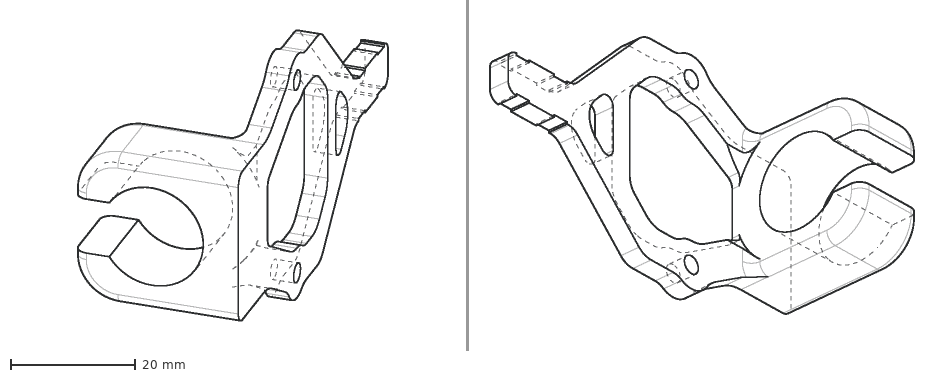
import cadquery as cq
import math


BORE_RADIUS = 8.75
BACK_WALL = 6.0
BACK_X = BORE_RADIUS + BACK_WALL
CLIP_DEPTH = 28.0
CLIP_LENGTH = 14.0
CLIP_HALF_HEIGHT = 13.38
CLIP_CORNER_RADIUS = 7.4
CLIP_EDGE_RADIUS = 2.0
SLOT_WIDTH = 9.7

PLATE_THICKNESS = 4.0
PLATE_FRONT_X = BACK_X - PLATE_THICKNESS
PLATE_ROOT_Y = CLIP_LENGTH / 2
PLATE_TOP_Z = 20.65
ROOT_BLEND_RADIUS = 8.0
ROOT_FILLET = 2.0
BLANK_THICKNESS = PLATE_THICKNESS + ROOT_FILLET
CLEARANCE_RADIUS = 14.0

TAB_END_Y = 71.61
TAB_HALF_HEIGHT = 4.0
TAB_CORNER_RADIUS = 2.0
TAB_BLEND_RADIUS = 3.0
NOTCH_DEPTH = 0.4
NOTCH_LENGTH = 3.0
NOTCH_STARTS_Y = (57.6, 66.6)

FAR_APEX_Y = 60.0
FAR_ARM_WIDTH = 6.0
NEAR_SLOPE = math.tan(math.radians(30))
NEAR_OUTER_Y = 14.2
NEAR_ARM_WIDTH = 6.5
SHOULDER_RADIUS = 4.0
WINDOW_SHOULDER_RADIUS = 5.0

WINDOW_FAR_Y = 42.65
WINDOW_HALF_HEIGHT = 14.2
WINDOW_ROOT_RADIUS = 2.0

CROSSBAR_WIDTH = 4.0
TRIANGLE_ARM_WIDTH = 4.0
TRIANGLE_APEX_RADIUS = 5.0
TRIANGLE_CORNER_RADIUS = 1.5

SCREW_Y = 28.05
SCREW_Z = 17.35
SCREW_DIAMETER = 3.3
BOSS_RADIUS = 4.5
BOSS_FAR_BLEND_RADIUS = 4.0
BOSS_NEAR_BLEND_RADIUS = 6.0


def slab(points):
    """Extrude a (Y, Z) outline forward from the back face through the blank thickness."""
    return cq.Workplane("YZ", origin=(BACK_X, 0, 0)).polyline(points).close().extrude(-BLANK_THICKNESS)


def disc(y, z, radius):
    """Cylinder along X through the blank thickness."""
    return cq.Workplane("YZ", origin=(BACK_X, y, z)).circle(radius).extrude(-BLANK_THICKNESS)


def round_corner(body, point, radius):
    """Round the through-thickness edge nearest to a (Y, Z) point."""
    y, z = point
    nearest = cq.selectors.NearestToPointSelector((BACK_X - BLANK_THICKNESS / 2, y, z))
    return body.edges("|X").edges(nearest).fillet(radius)


def boss_meets_level(level, side):
    """Point where the boss circle crosses a horizontal line, on the +Y or -Y side."""
    return (SCREW_Y + side * math.sqrt(BOSS_RADIUS**2 - (level - SCREW_Z) ** 2), level)


def boss_meets_slope(start_y, start_z, side):
    """Point where the boss circle crosses a near-arm line through a start point."""
    angle = math.atan(NEAR_SLOPE)
    dy = SCREW_Y - start_y
    dz = SCREW_Z - start_z
    along = dy * math.cos(angle) + dz * math.sin(angle)
    across = dz * math.cos(angle) - dy * math.sin(angle)
    along += side * math.sqrt(BOSS_RADIUS**2 - across**2)
    return (start_y + along * math.cos(angle), start_z + along * math.sin(angle))


def make_half_plate():
    """Upper half of the plate blank, with its boss, notches and half of the main window."""
    tab_corner = (TAB_END_Y, TAB_HALF_HEIGHT)
    tab_neck = (FAR_APEX_Y - TAB_HALF_HEIGHT, TAB_HALF_HEIGHT)
    shoulder = (FAR_APEX_Y - PLATE_TOP_Z, PLATE_TOP_Z)
    near_top = (NEAR_OUTER_Y + (PLATE_TOP_Z - CLIP_HALF_HEIGHT) / NEAR_SLOPE, PLATE_TOP_Z)
    root = (NEAR_OUTER_Y, CLIP_HALF_HEIGHT)
    outline = [(TAB_END_Y, 0), tab_corner, tab_neck, shoulder, near_top, root,
               (PLATE_ROOT_Y, CLIP_HALF_HEIGHT), (PLATE_ROOT_Y, 0)]

    window_apex_y = FAR_APEX_Y - FAR_ARM_WIDTH * math.sqrt(2)
    window_far = (WINDOW_FAR_Y, window_apex_y - WINDOW_FAR_Y)
    window_shoulder = (window_apex_y - WINDOW_HALF_HEIGHT, WINDOW_HALF_HEIGHT)
    arm_height = NEAR_ARM_WIDTH / math.cos(math.atan(NEAR_SLOPE))
    root_z = CLIP_HALF_HEIGHT - arm_height + NEAR_SLOPE * (CLIP_LENGTH - NEAR_OUTER_Y)
    window_root = (CLIP_LENGTH, root_z)
    window_top = (CLIP_LENGTH + (WINDOW_HALF_HEIGHT - root_z) / NEAR_SLOPE, WINDOW_HALF_HEIGHT)
    window = [(WINDOW_FAR_Y, 0), window_far, window_shoulder, window_top, window_root, (CLIP_LENGTH, 0)]

    half = slab(outline).cut(slab(window)).union(disc(SCREW_Y, SCREW_Z, BOSS_RADIUS))
    half = half.cut(disc(SCREW_Y, SCREW_Z, SCREW_DIAMETER / 2))

    half = round_corner(half, tab_corner, TAB_CORNER_RADIUS)
    half = round_corner(half, tab_neck, TAB_BLEND_RADIUS)
    half = round_corner(half, root, ROOT_BLEND_RADIUS)
    half = round_corner(half, window_root, WINDOW_ROOT_RADIUS)
    half = round_corner(half, window_shoulder, WINDOW_SHOULDER_RADIUS)
    for corner in (shoulder, window_far):
        half = round_corner(half, corner, SHOULDER_RADIUS)

    for corner in (boss_meets_level(PLATE_TOP_Z, 1), boss_meets_level(WINDOW_HALF_HEIGHT, 1)):
        half = round_corner(half, corner, BOSS_FAR_BLEND_RADIUS)
    for corner in (boss_meets_slope(*root, -1), boss_meets_slope(*window_root, -1)):
        half = round_corner(half, corner, BOSS_NEAR_BLEND_RADIUS)

    notch_z = TAB_HALF_HEIGHT - NOTCH_DEPTH
    for start in NOTCH_STARTS_Y:
        end = start + NOTCH_LENGTH
        half = half.cut(slab([(start, notch_z), (end, notch_z), (end, PLATE_TOP_Z), (start, PLATE_TOP_Z)]))
    return half


def make_triangle_window():
    """Rounded triangular opening between the far arms and the crossbar."""
    base_y = WINDOW_FAR_Y + CROSSBAR_WIDTH
    apex_y = FAR_APEX_Y - TRIANGLE_ARM_WIDTH * math.sqrt(2)
    half_base = apex_y - base_y
    apex = (apex_y, 0)
    corners = ((base_y, half_base), (base_y, -half_base))
    opening = round_corner(slab([apex, *corners]), apex, TRIANGLE_APEX_RADIUS)
    for corner in corners:
        opening = round_corner(opening, corner, TRIANGLE_CORNER_RADIUS)
    return opening


def make_root_fillet():
    """Concave fillet that follows the clip's rounded end edge in front of the plate."""
    axis_y = CLIP_LENGTH - CLIP_EDGE_RADIUS
    axis_z = CLIP_HALF_HEIGHT - CLIP_EDGE_RADIUS
    tangent_x = PLATE_FRONT_X - ROOT_FILLET
    tangent_y = CLIP_LENGTH + ROOT_FILLET
    arc_reach = ROOT_FILLET * (1 - math.sqrt(0.5))
    arc_middle = (PLATE_FRONT_X - arc_reach, CLIP_LENGTH + arc_reach)

    def profile(z):
        start = cq.Workplane("XY", origin=(0, 0, z)).moveTo(tangent_x, axis_y).lineTo(PLATE_FRONT_X, axis_y)
        side = start.lineTo(PLATE_FRONT_X, tangent_y)
        return side.threePointArc(arc_middle, (tangent_x, CLIP_LENGTH)).close()

    fillet = profile(-axis_z).extrude(2 * axis_z)
    turn = profile(axis_z).revolve(90, (tangent_x, axis_y), (PLATE_FRONT_X, axis_y))
    return fillet.union(turn).union(turn.mirror("XY"))


def make_plate():
    """Blank trimmed to the plate thickness, except for the fillet against the clip."""
    half = make_half_plate()
    blank = half.union(half.mirror("XY")).cut(make_triangle_window())
    sheet = cq.Workplane("XY").box(PLATE_THICKNESS, 2 * TAB_END_Y, 4 * PLATE_TOP_Z)
    sheet = sheet.translate((BACK_X - PLATE_THICKNESS / 2, 0, 0))
    return blank.intersect(sheet).union(blank.intersect(make_root_fillet()))


def make_clip_block():
    """Solid clip body with rounded mouth corners and rounded end edges."""
    block = cq.Workplane("XY").box(CLIP_DEPTH, CLIP_LENGTH, 2 * CLIP_HALF_HEIGHT)
    block = block.translate((BACK_X - CLIP_DEPTH / 2, CLIP_LENGTH / 2, 0))
    block = block.edges("|Y and <X").fillet(CLIP_CORNER_RADIUS)
    return block.faces("<Y or >Y").edges("not >X").fillet(CLIP_EDGE_RADIUS)


def along_y(radius, start_y, end_y):
    """Cylinder on the bore axis between two Y positions."""
    return cq.Workplane("XZ", origin=(0, start_y, 0)).circle(radius).extrude(start_y - end_y)


def make_part():
    """Clip and plate joined, then relieved, bored and slotted."""
    body = make_clip_block().union(make_plate())
    body = body.cut(along_y(CLEARANCE_RADIUS, CLIP_LENGTH, SCREW_Y))
    body = body.cut(along_y(BORE_RADIUS, 0, CLIP_LENGTH))
    slot = cq.Workplane("XY").box(CLIP_DEPTH, CLIP_LENGTH, SLOT_WIDTH)
    return body.cut(slot.translate((-CLIP_DEPTH / 2, CLIP_LENGTH / 2, 0)))


result = make_part()